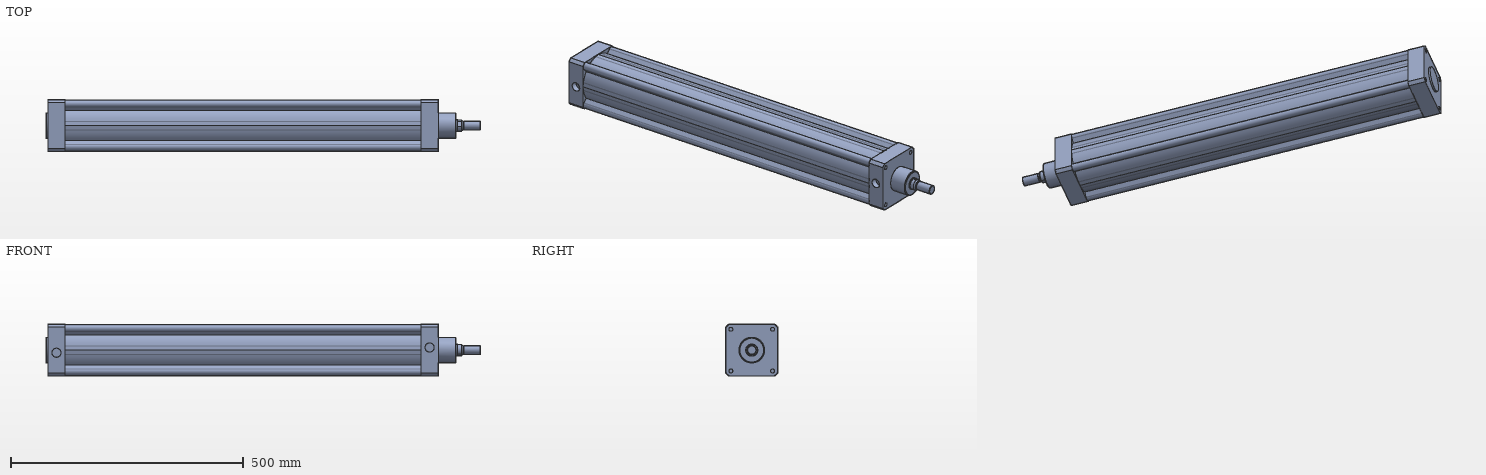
import cadquery as cq
import math

TOTAL_LENGTH = 933.0
REAR_BOSS_LENGTH = 4.0
CAP_LENGTH = 37.0
BARREL_LENGTH = 764.0
FRONT_BOSS_LENGTH = 38.0
WIPER_LENGTH = 3.0
FLATS_LENGTH = 8.0
THREAD_RELIEF_LENGTH = 3.0

CAP_WIDTH = 112.0
CAP_CORNER_DIAMETER = 149.0
BOSS_DIAMETER = 55.0
FRONT_BOSS_CHAMFER = 2.0
PORT_DIAMETER = 20.0
PORT_DEPTH = 14.0
PORT_OFFSET = 6.0
SCREW_HOLE_DIAMETER = 8.0
SCREW_HOLE_DEPTH = 16.0
SCREW_HOLE_SPACING = 90.0

TUBE_RADIUS = 109.0 / 2
RIDGE_HALF_WIDTH = 9.0
CORNER_LOBE_WIDTH = 17.0
CORNER_LOBE_OFFSET = TUBE_RADIUS - CORNER_LOBE_WIDTH / 2

ROD_DIAMETER = 25.0
WIPER_DIAMETER = 26.0
WIDTH_ACROSS_FLATS = 22.0
FLATS_TILT = 20.0
THREAD_DIAMETER = 20.0
THREAD_RELIEF_DIAMETER = 19.0
THREAD_CHAMFER = 1.0

REAR_END = -TOTAL_LENGTH / 2
ROD_TIP = TOTAL_LENGTH / 2
BARREL_START = REAR_END + REAR_BOSS_LENGTH + CAP_LENGTH
BARREL_END = BARREL_START + BARREL_LENGTH
FRONT_BOSS_END = BARREL_END + CAP_LENGTH + FRONT_BOSS_LENGTH
FLATS_START = FRONT_BOSS_END + WIPER_LENGTH
FLATS_END = FLATS_START + FLATS_LENGTH
SHOULDER_CHAMFER = (ROD_DIAMETER - THREAD_RELIEF_DIAMETER) / 2
SHOULDER_END = FLATS_END + SHOULDER_CHAMFER
THREAD_START = SHOULDER_END + THREAD_RELIEF_LENGTH


def plane_at(x):
    """Plane across the cylinder axis, with local X along Y and local Y along Z."""
    return cq.Workplane("YZ", origin=(x, 0, 0))


def disc(start, end, diameter):
    """Round bar on the cylinder axis between two places along X."""
    return plane_at(start).circle(diameter / 2).extrude(end - start)


def turn_about_axis(shape, angle):
    return shape.rotate((0, 0, 0), (1, 0, 0), angle)


def end_cap(inner_x, outward, boss_length, port_height):
    """Cap against the barrel end at inner_x; outward is -1 towards the rear, +1 towards the front."""
    outer_x = inner_x + outward * CAP_LENGTH
    block = plane_at(inner_x).rect(CAP_WIDTH, CAP_WIDTH).extrude(outward * CAP_LENGTH)
    block = block.intersect(disc(inner_x, outer_x, CAP_CORNER_DIAMETER))
    boss = disc(outer_x, outer_x + outward * boss_length, BOSS_DIAMETER)
    screw_holes = (
        plane_at(outer_x)
        .rect(SCREW_HOLE_SPACING, SCREW_HOLE_SPACING, forConstruction=True)
        .vertices()
        .circle(SCREW_HOLE_DIAMETER / 2)
        .extrude(-outward * SCREW_HOLE_DEPTH)
    )
    port_mouth = ((inner_x + outer_x) / 2, -CAP_WIDTH / 2, port_height)
    port = cq.Workplane("XZ", origin=port_mouth).circle(PORT_DIAMETER / 2).extrude(-PORT_DEPTH)
    return block.union(boss).cut(screw_holes).cut(port)


def front_end_cap():
    """Front cap with a chamfered boss and a bore for the rod."""
    cap = end_cap(BARREL_END, 1, FRONT_BOSS_LENGTH, PORT_OFFSET)
    cap = cap.faces(">X").chamfer(FRONT_BOSS_CHAMFER)
    return cap.cut(disc(BARREL_END, FRONT_BOSS_END, ROD_DIAMETER))


def side_ridge():
    """Low peak on the +Y side of the tube, with flanks tangent to the round wall."""
    half_angle = math.asin(RIDGE_HALF_WIDTH / TUBE_RADIUS)
    foot = TUBE_RADIUS * math.cos(half_angle)
    peak = TUBE_RADIUS / math.cos(half_angle)
    outline = [(0, 0), (foot, -RIDGE_HALF_WIDTH), (peak, 0), (foot, RIDGE_HALF_WIDTH)]
    return plane_at(BARREL_START).polyline(outline).close().extrude(BARREL_LENGTH)


def corner_lobes():
    """Round-ended bar through the axis that forms two opposite corner lobes once turned."""
    lobe_reach = CORNER_LOBE_OFFSET * math.sqrt(2) + CORNER_LOBE_WIDTH / 2
    return plane_at(BARREL_START).slot2D(2 * lobe_reach, CORNER_LOBE_WIDTH).extrude(BARREL_LENGTH)


def barrel_profile():
    body = disc(BARREL_START, BARREL_END, 2 * TUBE_RADIUS)
    for angle in (0, 90, 180, 270):
        body = body.union(turn_about_axis(side_ridge(), angle))
    for angle in (45, 135):
        body = body.union(turn_about_axis(corner_lobes(), angle))
    return body


def piston_rod():
    shank = disc(BARREL_END, SHOULDER_END, ROD_DIAMETER).faces(">X").chamfer(SHOULDER_CHAMFER)
    outside_flats = (
        plane_at(FLATS_START)
        .rect(2 * ROD_DIAMETER, 2 * ROD_DIAMETER)
        .rect(2 * ROD_DIAMETER, WIDTH_ACROSS_FLATS)
        .extrude(FLATS_LENGTH)
    )
    shank = shank.cut(turn_about_axis(outside_flats, -FLATS_TILT))
    relief = disc(SHOULDER_END, THREAD_START, THREAD_RELIEF_DIAMETER)
    thread = disc(THREAD_START, ROD_TIP, THREAD_DIAMETER).faces(">X").chamfer(THREAD_CHAMFER)
    return shank.union(relief).union(thread)


def wiper_ring():
    """Thin ring around the rod, seated on the end of the front boss."""
    ring = disc(FRONT_BOSS_END, FLATS_START, WIPER_DIAMETER)
    return ring.cut(disc(FRONT_BOSS_END, FLATS_START, ROD_DIAMETER))


rear_cap = end_cap(BARREL_START, -1, REAR_BOSS_LENGTH, -PORT_OFFSET)
front_cap = front_end_cap()
barrel = barrel_profile()
rod = piston_rod()
wiper = wiper_ring()

result = cq.Compound.makeCompound([rear_cap.val(), front_cap.val(), barrel.val(), rod.val(), wiper.val()])